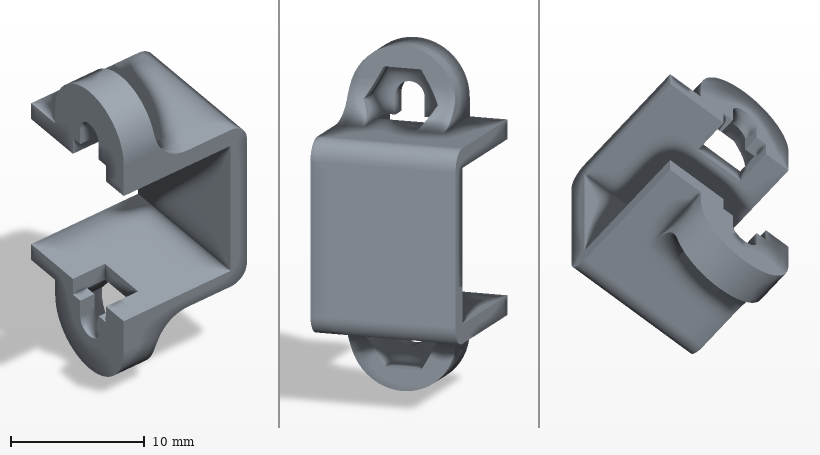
import cadquery as cq
import math

width = 11.5
depth = 11.5
height = 15.0
wall = 1.5
corner_radius = wall
front = -depth / 2
flange_top = height / 2

total_height = 26.5
ear_width = 8.5
ear_radius = ear_width / 2
ear_thickness = 3.0
ear_back = front + ear_thickness
ear_x = width / 2 - ear_radius
ear_z = total_height / 2 - ear_radius
blend_radius = ear_thickness

slot_width = 2.3
nut_corners = 5.88
nut_overlap = 1.67
notch_width = 4.1


def channel():
    """Back wall and two flanges, with rounded outer bends and square inner corners."""
    outer = cq.Workplane("XY").box(width, depth, height)
    outer = outer.edges("|X and >Y").fillet(corner_radius)
    inner = cq.Workplane("XY").box(width, depth, height - 2 * wall).translate((0, -wall, 0))
    return outer.cut(inner)


def round_topped(bottom, radius, length):
    """Upright plate with a rounded top about the screw axis, running back from the front face."""
    return (
        cq.Workplane("XZ", origin=(ear_x, front, 0))
        .moveTo(-radius, bottom)
        .lineTo(-radius, ear_z)
        .threePointArc((0, ear_z + radius), (radius, ear_z))
        .lineTo(radius, bottom)
        .close()
        .extrude(-length)
    )


def upper_ear():
    """Ear with its rear blend: the side profile trimmed to the rounded front outline."""
    blend_back = ear_back + blend_radius
    diagonal = blend_radius * (1 - math.sqrt(0.5))
    side = (
        cq.Workplane("YZ", origin=(ear_x - ear_radius, 0, 0))
        .moveTo(front, flange_top - wall)
        .lineTo(front, total_height / 2)
        .lineTo(ear_back, total_height / 2)
        .lineTo(ear_back, flange_top + blend_radius)
        .threePointArc((ear_back + diagonal, flange_top + diagonal), (blend_back, flange_top))
        .lineTo(blend_back, flange_top - wall)
        .close()
        .extrude(ear_width)
    )
    return side.intersect(round_topped(flange_top - wall, ear_radius, depth))


def upper_cuts():
    """Screw slot, the notch at its foot, and the nut pocket, which stops at the flange surface."""
    slot = round_topped(flange_top, slot_width / 2, depth)
    notch = (
        cq.Workplane("XY", origin=(ear_x, front, flange_top - wall))
        .rect(notch_width, 2 * ear_thickness)
        .extrude(wall)
    )
    nut = (
        cq.Workplane("XZ", origin=(ear_x, ear_back - nut_overlap, ear_z))
        .polygon(6, nut_corners)
        .extrude(-depth)
    )
    above_flange = (
        cq.Workplane("XY", origin=(0, 0, flange_top))
        .rect(2 * width, 2 * depth)
        .extrude(total_height)
    )
    return slot.union(notch).union(nut.intersect(above_flange))


def with_mirror(upper):
    """Pair a feature of the upper flange with its reflection on the lower one."""
    return upper.union(upper.mirror("XY"))


result = channel().union(with_mirror(upper_ear())).cut(with_mirror(upper_cuts()))